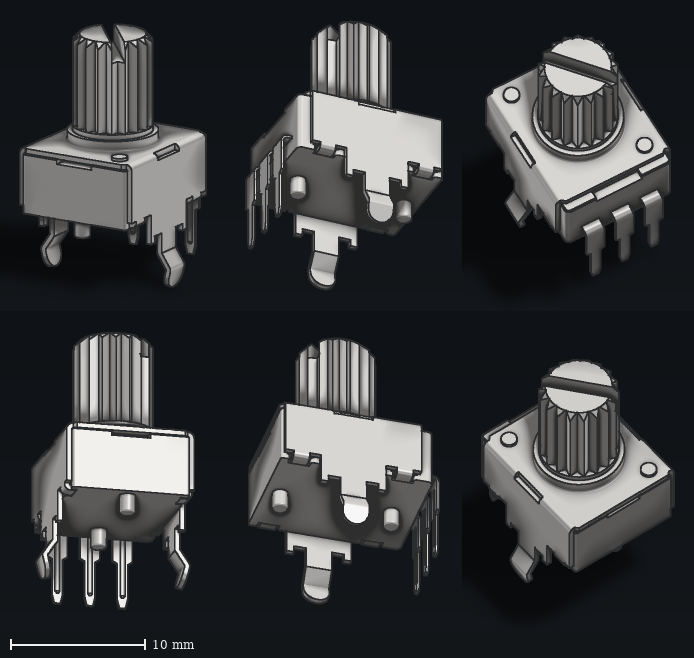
import cadquery as cq
import math


HOUSING_WIDTH = 9.0
HOUSING_HEIGHT = 4.65
HOUSING_FRONT_Y = -5.5
HOUSING_BACK_Y = 6.25
FRONT_CORNER_RADIUS = 0.2
BACK_CORNER_RADIUS = 0.4
TOP_EDGE_CHAMFER = 0.1
NOTCH_DEPTH = 0.4
FRONT_NOTCH_WIDTH = 3.0
FRONT_NOTCH_REACH = 1.0
BACK_NOTCH_WIDTH = 3.9
POST_DIAMETER = 1.2
POST_SPACING_Y = 4.3
POST_LENGTH = 1.44
POST_EDGE_RADIUS = 0.2
RIVET_X = 3.25
RIVET_PROJECTION = 0.22

SHEET = 0.4
COVER_BEND_RADIUS = 0.5
PLATE_HALF_LENGTH = 5.5
WALL_HALF_LENGTH = 5.25
WALL_BOTTOM_Z = 0.55
WINDOW_WIDTH = 3.0
BUSHING_DIAMETER = 6.8
BUSHING_HEIGHT = 0.8
BUSHING_ROOT_RADIUS = 0.2

APRON_HALF_WIDTH = 2.5
APRON_CORNER_RADIUS = 0.1
FOOT_WIDTH = 0.55
FOOT_BOTTOM_Z = -1.74
SHOULDER_Z = -1.22
LEG_WIDTH = 2.0
LEG_OUTER_X = 5.66
LEG_TIP_Z = -5.53
KNEE_CENTER_Z = -4.03
KNEE_INNER_RADIUS = 0.05
LEG_SPLAY_ANGLE = math.radians(34)
LEG_RETURN_ANGLE = math.radians(14)
LEG_TIP_RADIUS = 0.49 * LEG_WIDTH

TAB_CENTER_Y = 4.0
TAB_WIDTH = 1.24
TAB_REACH = 0.9
TAB_BEND_RADIUS = 0.45
POCKET_WIDTH = 1.62
POCKET_MOUTH_RADIUS = 0.21

SHAFT_DIAMETER = 6.0
SHAFT_TOP_Z = 13.27
SPLINE_BOTTOM_Z = 6.25
SPLINE_ROOT_RADIUS = 2.45
TOOTH_COUNT = 18
SHAFT_CHAMFER = 0.5
SLOT_WIDTH = 1.0
SLOT_DEPTH = 1.5
SLOT_ANGLE = -50

TERMINAL_PITCH = 2.5
TERMINAL_COUNT = 3
TERMINAL_SHEET = 0.2
TERMINAL_OUTER_Y = 7.1
TERMINAL_TOP_Z = 1.55
TERMINAL_BEND_RADIUS = 0.55
TERMINAL_EMBED = 1.0
TERMINAL_WIDTH = 1.52
BLADE_WIDTH = 0.8
TIP_WIDTH = 0.48
BLADE_SHOULDER_Z = -1.46
BLADE_TOP_Z = -1.68
BLADE_TAPER_Z = -4.47
TERMINAL_TIP_Z = -5.1
BEAD_WIDTH = 0.38
BEAD_HEIGHT = 0.06
BEAD_TOP_Z = 0.83
BEAD_BOTTOM_Z = -4.33
BEAD_RAMP = 0.18

WALL_INNER_X = HOUSING_WIDTH / 2
WALL_OUTER_X = WALL_INNER_X + SHEET
PLATE_TOP_Z = HOUSING_HEIGHT + SHEET
BEND_END_Z = PLATE_TOP_Z - COVER_BEND_RADIUS
BUSHING_TOP_Z = PLATE_TOP_Z + BUSHING_HEIGHT
SHAFT_RADIUS = SHAFT_DIAMETER / 2
TERMINAL_X = [TERMINAL_PITCH * (i - (TERMINAL_COUNT - 1) / 2) for i in range(TERMINAL_COUNT)]
RIVET_POINTS = [(-RIVET_X, POST_SPACING_Y), (RIVET_X, -POST_SPACING_Y)]


def box(x_range, y_range, z_range):
    """Axis-aligned block given by its limits on each axis."""
    size = [high - low for low, high in (x_range, y_range, z_range)]
    corner = [low for low, high in (x_range, y_range, z_range)]
    return cq.Workplane("XY").box(*size, centered=False).translate(tuple(corner))


def mirrored_x(body):
    return body.union(body.mirror("YZ"))



def make_shaft():
    star = []
    for i in range(2 * TOOTH_COUNT):
        radius = SHAFT_RADIUS if i % 2 == 0 else SPLINE_ROOT_RADIUS
        angle = math.pi * i / TOOTH_COUNT
        star.append((radius * math.cos(angle), radius * math.sin(angle)))
    spline = (
        cq.Workplane("XY").workplane(offset=SPLINE_BOTTOM_Z)
        .polyline(star).close()
        .extrude(SHAFT_TOP_Z - SPLINE_BOTTOM_Z)
    )
    chamfered_envelope = (
        cq.Workplane("XY").workplane(offset=HOUSING_HEIGHT)
        .circle(SHAFT_RADIUS)
        .extrude(SHAFT_TOP_Z - HOUSING_HEIGHT)
        .faces(">Z").chamfer(SHAFT_CHAMFER)
    )
    journal = (
        cq.Workplane("XY").workplane(offset=HOUSING_HEIGHT)
        .circle(SHAFT_RADIUS)
        .extrude(SPLINE_BOTTOM_Z - HOUSING_HEIGHT)
    )
    slot = box(
        (-SHAFT_DIAMETER, SHAFT_DIAMETER),
        (-SLOT_WIDTH / 2, SLOT_WIDTH / 2),
        (SHAFT_TOP_Z - SLOT_DEPTH, SHAFT_TOP_Z),
    ).rotate((0, 0, 0), (0, 0, 1), SLOT_ANGLE)
    return spline.intersect(chamfered_envelope).union(journal).cut(slot)



def make_cover_top():
    """Plate with its two top bends and a short stretch of the walls below them."""
    stub_bottom_z = BEND_END_Z - SHEET
    bent = box(
        (-WALL_OUTER_X, WALL_OUTER_X),
        (-WALL_HALF_LENGTH, WALL_HALF_LENGTH),
        (stub_bottom_z, PLATE_TOP_Z),
    ).edges("|Y and >Z").fillet(COVER_BEND_RADIUS)
    inside = box(
        (-WALL_INNER_X, WALL_INNER_X),
        (-PLATE_HALF_LENGTH, PLATE_HALF_LENGTH),
        (stub_bottom_z, HOUSING_HEIGHT),
    ).edges("|Y and >Z").fillet(COVER_BEND_RADIUS - SHEET)
    flat_half_width = WALL_OUTER_X - COVER_BEND_RADIUS
    plate = box(
        (-flat_half_width, flat_half_width),
        (-PLATE_HALF_LENGTH, PLATE_HALF_LENGTH),
        (HOUSING_HEIGHT, PLATE_TOP_Z),
    ).edges("|Z").chamfer(PLATE_HALF_LENGTH - WALL_HALF_LENGTH)
    return bent.cut(inside).union(plate)


def make_wall():
    """Flat +X wall with the apron and its feet."""
    foot_inner = APRON_HALF_WIDTH - FOOT_WIDTH
    half = [
        (WALL_HALF_LENGTH, BEND_END_Z),
        (WALL_HALF_LENGTH, WALL_BOTTOM_Z),
        (APRON_HALF_WIDTH, WALL_BOTTOM_Z),
        (APRON_HALF_WIDTH, FOOT_BOTTOM_Z),
        (foot_inner, FOOT_BOTTOM_Z),
        (foot_inner, SHOULDER_Z),
    ]
    outline = half + [(-y, z) for y, z in reversed(half)]
    wall = (
        cq.Workplane("YZ").workplane(offset=WALL_INNER_X)
        .polyline(outline).close()
        .extrude(SHEET)
    )
    corners = cq.selectors.BoxSelector(
        (WALL_INNER_X, -APRON_HALF_WIDTH - SHEET, WALL_BOTTOM_Z - SHEET),
        (WALL_OUTER_X, APRON_HALF_WIDTH + SHEET, WALL_BOTTOM_Z + SHEET),
    )
    return wall.edges("|X").edges(corners).fillet(APRON_CORNER_RADIUS)


def make_leg():
    """Snap-in leg of the +X wall: splays outward, then returns at the knee."""
    outer_radius = KNEE_INNER_RADIUS + SHEET
    center_x = LEG_OUTER_X - outer_radius
    splay_normal = (math.cos(LEG_SPLAY_ANGLE), math.sin(LEG_SPLAY_ANGLE))
    return_normal = (math.cos(LEG_RETURN_ANGLE), -math.sin(LEG_RETURN_ANGLE))

    def knee_point(radius, normal):
        return (center_x + radius * normal[0], KNEE_CENTER_Z + radius * normal[1])

    def splay_start(radius, face_x):
        """Where the splayed face at this knee radius meets the upright face."""
        x, z = knee_point(radius, splay_normal)
        return (face_x, z + (x - face_x) / math.tan(LEG_SPLAY_ANGLE))

    outer_return = knee_point(outer_radius, return_normal)
    inner_return = knee_point(KNEE_INNER_RADIUS, return_normal)
    tip_drop = outer_return[1] - LEG_TIP_Z
    tip_shift = tip_drop * math.tan(LEG_RETURN_ANGLE)
    outer_tip = (outer_return[0] - tip_shift, LEG_TIP_Z)
    inner_tip = (inner_return[0] - tip_shift, inner_return[1] - tip_drop)

    leg = (
        cq.Workplane("XZ")
        .moveTo(WALL_OUTER_X, WALL_BOTTOM_Z)
        .lineTo(*splay_start(outer_radius, WALL_OUTER_X))
        .lineTo(*knee_point(outer_radius, splay_normal))
        .threePointArc((LEG_OUTER_X, KNEE_CENTER_Z), outer_return)
        .lineTo(*outer_tip)
        .lineTo(*inner_tip)
        .lineTo(*inner_return)
        .threePointArc((center_x + KNEE_INNER_RADIUS, KNEE_CENTER_Z),
                       knee_point(KNEE_INNER_RADIUS, splay_normal))
        .lineTo(*splay_start(KNEE_INNER_RADIUS, WALL_INNER_X))
        .lineTo(WALL_INNER_X, WALL_BOTTOM_Z)
        .close()
        .extrude(LEG_WIDTH / 2, both=True)
    )
    return leg.faces("<Z").edges("not |Y").fillet(LEG_TIP_RADIUS)


def make_tab(center_y):
    """Tab of the +X wall, folded inward under the housing."""
    bend_center_x = WALL_OUTER_X - TAB_BEND_RADIUS
    inner_radius = TAB_BEND_RADIUS - SHEET
    diagonal = math.sqrt(0.5)
    tab_end_x = WALL_OUTER_X - TAB_REACH
    return (
        cq.Workplane("XZ")
        .moveTo(WALL_OUTER_X, WALL_BOTTOM_Z)
        .lineTo(WALL_OUTER_X, TAB_BEND_RADIUS)
        .threePointArc((bend_center_x + TAB_BEND_RADIUS * diagonal, TAB_BEND_RADIUS * (1 - diagonal)),
                       (bend_center_x, 0))
        .lineTo(tab_end_x, 0)
        .lineTo(tab_end_x, SHEET)
        .lineTo(bend_center_x, SHEET)
        .threePointArc((bend_center_x + inner_radius * diagonal, TAB_BEND_RADIUS - inner_radius * diagonal),
                       (WALL_INNER_X, TAB_BEND_RADIUS))
        .lineTo(WALL_INNER_X, WALL_BOTTOM_Z)
        .close()
        .extrude(TAB_WIDTH / 2, both=True)
        .translate((0, center_y, 0))
    )


def make_bushing():
    """Collar around the shaft, rising from the plate through a rounded root."""
    radius = BUSHING_DIAMETER / 2
    arc_inset = BUSHING_ROOT_RADIUS * (1 - math.sqrt(0.5))
    return (
        cq.Workplane("XZ")
        .moveTo(SHAFT_RADIUS, PLATE_TOP_Z)
        .lineTo(radius + BUSHING_ROOT_RADIUS, PLATE_TOP_Z)
        .threePointArc((radius + arc_inset, PLATE_TOP_Z + arc_inset),
                       (radius, PLATE_TOP_Z + BUSHING_ROOT_RADIUS))
        .lineTo(radius, BUSHING_TOP_Z)
        .lineTo(SHAFT_RADIUS, BUSHING_TOP_Z)
        .close()
        .revolve(360, (0, 0, 0), (0, 1, 0))
    )


def make_cover():
    side = make_wall().union(make_leg())
    for center_y in (-TAB_CENTER_Y, TAB_CENTER_Y):
        side = side.union(make_tab(center_y))
    window = box(
        (WALL_INNER_X, WALL_OUTER_X),
        (-WINDOW_WIDTH / 2, WINDOW_WIDTH / 2),
        (BEND_END_Z, PLATE_TOP_Z),
    )
    shaft_hole = cq.Workplane("XY").circle(SHAFT_RADIUS).extrude(BUSHING_TOP_Z)
    rivet_holes = cq.Workplane("XY").pushPoints(RIVET_POINTS).circle(POST_DIAMETER / 2).extrude(PLATE_TOP_Z)
    cover = make_cover_top().cut(mirrored_x(window)).union(mirrored_x(side))
    return cover.union(make_bushing()).cut(shaft_hole).cut(rivet_holes)



def make_terminal(center_x):
    """Flat strip leaving the housing back, bent down into a stepped blade with a stiffening bead."""
    face_y = TERMINAL_OUTER_Y - TERMINAL_SHEET
    strip = (
        cq.Workplane("YZ")
        .moveTo(HOUSING_BACK_Y - TERMINAL_EMBED, TERMINAL_TOP_Z)
        .lineTo(TERMINAL_OUTER_Y, TERMINAL_TOP_Z)
        .lineTo(TERMINAL_OUTER_Y, TERMINAL_TIP_Z)
        .lineTo(face_y, TERMINAL_TIP_Z)
        .lineTo(face_y, TERMINAL_TOP_Z - TERMINAL_SHEET)
        .lineTo(HOUSING_BACK_Y - TERMINAL_EMBED, TERMINAL_TOP_Z - TERMINAL_SHEET)
        .close()
        .extrude(TERMINAL_WIDTH / 2, both=True)
    )
    strip = strip.edges("|X and >Y and >Z").fillet(TERMINAL_BEND_RADIUS)
    inner_corner = cq.selectors.NearestToPointSelector((0, face_y, TERMINAL_TOP_Z - TERMINAL_SHEET))
    strip = strip.edges("|X").edges(inner_corner).fillet(TERMINAL_BEND_RADIUS - TERMINAL_SHEET)

    half_outline = [
        (TERMINAL_WIDTH / 2, TERMINAL_TOP_Z),
        (TERMINAL_WIDTH / 2, BLADE_SHOULDER_Z),
        (BLADE_WIDTH / 2, BLADE_TOP_Z),
        (BLADE_WIDTH / 2, BLADE_TAPER_Z),
        (TIP_WIDTH / 2, TERMINAL_TIP_Z),
    ]
    outline = half_outline + [(-x, z) for x, z in reversed(half_outline)]
    blade_envelope = cq.Workplane("XZ").polyline(outline).close().extrude(-TERMINAL_OUTER_Y)

    bead_radius = (BEAD_WIDTH ** 2 / 4 + BEAD_HEIGHT ** 2) / (2 * BEAD_HEIGHT)
    end_radius = bead_radius - BEAD_HEIGHT
    bead = (
        cq.Workplane("XZ")
        .polyline([
            (0, BEAD_BOTTOM_Z),
            (end_radius, BEAD_BOTTOM_Z),
            (bead_radius, BEAD_BOTTOM_Z + BEAD_RAMP),
            (bead_radius, BEAD_TOP_Z - BEAD_RAMP),
            (end_radius, BEAD_TOP_Z),
            (0, BEAD_TOP_Z),
        ])
        .close()
        .revolve(360, (0, 0, 0), (0, 1, 0))
        .translate((0, face_y + end_radius, 0))
    )
    bead_zone = box(
        (-BEAD_WIDTH, BEAD_WIDTH),
        (face_y - BEAD_HEIGHT, face_y + TERMINAL_SHEET / 2),
        (BEAD_BOTTOM_Z, BEAD_TOP_Z),
    )
    terminal = strip.intersect(blade_envelope).union(bead.intersect(bead_zone))
    return terminal.translate((center_x, 0, 0))



def make_housing_block():
    half_width = HOUSING_WIDTH / 2
    block = box((-half_width, half_width), (HOUSING_FRONT_Y, HOUSING_BACK_Y), (0, HOUSING_HEIGHT))
    block = block.edges("|Z and <Y").fillet(FRONT_CORNER_RADIUS)
    block = block.edges("|Z and >Y").fillet(BACK_CORNER_RADIUS)
    return block.faces(">Z").chamfer(TOP_EDGE_CHAMFER)


def make_housing_notches():
    """Notches in the front and back top edges."""
    notch_z = (HOUSING_HEIGHT - NOTCH_DEPTH, HOUSING_HEIGHT)
    front = box(
        (-FRONT_NOTCH_WIDTH / 2, FRONT_NOTCH_WIDTH / 2),
        (HOUSING_FRONT_Y, HOUSING_FRONT_Y + FRONT_NOTCH_REACH),
        notch_z,
    )
    back = box(
        (-BACK_NOTCH_WIDTH / 2, BACK_NOTCH_WIDTH / 2),
        (PLATE_HALF_LENGTH, HOUSING_BACK_Y),
        notch_z,
    )
    return front.union(back)


def make_tab_pocket(center_y):
    """Pocket in the +X underside edge for one folded tab, flared by rounded mouth edges."""
    half_width = POCKET_WIDTH / 2
    half_mouth = half_width + POCKET_MOUTH_RADIUS
    throat_x = WALL_INNER_X - POCKET_MOUTH_RADIUS
    inner_x = WALL_OUTER_X - TAB_REACH
    arc_offset = POCKET_MOUTH_RADIUS * math.sqrt(0.5)
    arc_x = throat_x + arc_offset
    arc_half_width = half_mouth - arc_offset
    return (
        cq.Workplane("XY")
        .moveTo(inner_x, -half_width)
        .lineTo(throat_x, -half_width)
        .threePointArc((arc_x, -arc_half_width), (WALL_INNER_X, -half_mouth))
        .lineTo(WALL_INNER_X, half_mouth)
        .threePointArc((arc_x, arc_half_width), (throat_x, half_width))
        .lineTo(inner_x, half_width)
        .close()
        .extrude(TAB_BEND_RADIUS)
        .translate((0, center_y, 0))
    )


def make_housing(terminals):
    housing = make_housing_block().cut(make_housing_notches())
    for center_y in (-TAB_CENTER_Y, TAB_CENTER_Y):
        housing = housing.cut(mirrored_x(make_tab_pocket(center_y)))
    posts = (
        cq.Workplane("XY")
        .pushPoints([(0, -POST_SPACING_Y), (0, POST_SPACING_Y)])
        .circle(POST_DIAMETER / 2)
        .extrude(-POST_LENGTH)
        .faces("<Z").edges().fillet(POST_EDGE_RADIUS)
    )
    rivets = (
        cq.Workplane("XY").workplane(offset=HOUSING_HEIGHT)
        .pushPoints(RIVET_POINTS)
        .circle(POST_DIAMETER / 2)
        .extrude(SHEET + RIVET_PROJECTION)
    )
    housing = housing.union(posts).union(rivets)
    for terminal in terminals:
        housing = housing.cut(terminal)
    return housing


shaft = make_shaft()
cover = make_cover()
terminals = [make_terminal(x) for x in TERMINAL_X]
housing = make_housing(terminals)

result = cq.Compound.makeCompound([
    shaft.val(),
    cover.val(),
    housing.val(),
    *[terminal.val() for terminal in terminals],
])